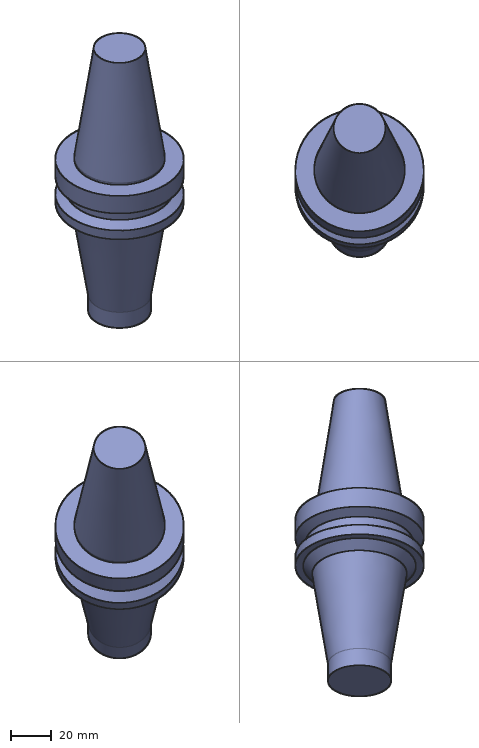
import cadquery as cq

total_length = 157.4
flange_diameter = 63.0

taper_ratio = 7 / 24
gauge_diameter = 44.4
taper_length = 65.3
taper_end_diameter = gauge_diameter - taper_ratio * taper_length
gauge_collar_length = 1.3

upper_rim_height = 10.5
lower_rim_height = 5.4
groove_diameter = 53.0
groove_floor_height = 4.5
groove_side_height = 2.8

shoulder_top_diameter = 55.2
shoulder_height = 4.4

nose_top_diameter = 46.5
nose_end_diameter = 31.0
nose_end_height = 9.6

gauge_z = total_length - taper_length
flange_top_z = gauge_z - gauge_collar_length
groove_top_z = flange_top_z - upper_rim_height
groove_floor_top_z = groove_top_z - groove_side_height
groove_floor_bottom_z = groove_floor_top_z - groove_floor_height
groove_bottom_z = groove_floor_bottom_z - groove_side_height
flange_bottom_z = groove_bottom_z - lower_rim_height
shoulder_bottom_z = flange_bottom_z - shoulder_height

profile = [
    (nose_end_diameter, 0),
    (nose_end_diameter, nose_end_height),
    (nose_top_diameter, shoulder_bottom_z),
    (shoulder_top_diameter, flange_bottom_z),
    (flange_diameter, flange_bottom_z),
    (flange_diameter, groove_bottom_z),
    (groove_diameter, groove_floor_bottom_z),
    (groove_diameter, groove_floor_top_z),
    (flange_diameter, groove_top_z),
    (flange_diameter, flange_top_z),
    (gauge_diameter, flange_top_z),
    (gauge_diameter, gauge_z),
    (taper_end_diameter, total_length),
]
outline = [(diameter / 2, level) for diameter, level in profile]

result = (
    cq.Workplane("XZ")
    .moveTo(0, 0)
    .polyline(outline, includeCurrent=True)
    .lineTo(0, total_length)
    .close()
    .revolve(360, (0, 0), (0, 1))
)